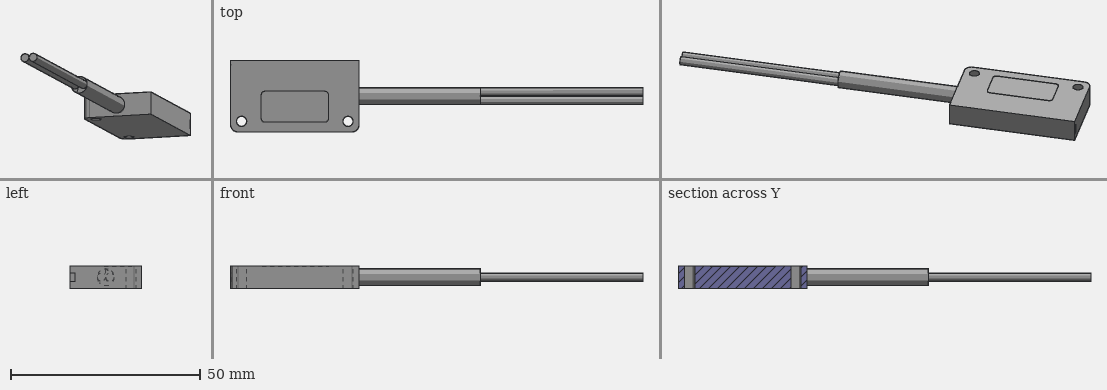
import cadquery as cq

total_length = 109.0
body_length = 34.0
body_width = 19.0
body_height = 6.0
corner_radius = 2.0

hole_diameter = 2.6
hole_inset_x = 2.9
hole_inset_y = 2.8

recess_depth = 0.1
label_length = 17.8
label_width = 8.2
label_offset_y = 2.6
label_corner_radius = 1.0
mark_width = 1.3
mark_height = 2.3

sleeve_diameter = 4.5
sleeve_length = 32.0
wire_diameter = 2.2

body_center_x = body_length / 2
front_y = -body_width / 2
back_y = body_width / 2
top_z = body_height / 2
sleeve_end_x = body_length + sleeve_length
wire_length = total_length - sleeve_end_x
wire_offset_y = (sleeve_diameter - wire_diameter) / 2


def make_body():
    """Block with the two front (-Y) vertical edges rounded."""
    block = cq.Workplane("XY").box(body_length, body_width, body_height)
    block = block.edges("|Z and <Y").fillet(corner_radius)
    return block.translate((body_center_x, 0, 0))


def make_mounting_holes():
    """Two through-hole cutters, mirrored about the middle of the body."""
    hole_y = front_y + hole_inset_y
    hole_centers = [(hole_inset_x, hole_y), (body_length - hole_inset_x, hole_y)]
    return (
        cq.Workplane("XY", origin=(0, 0, -top_z))
        .pushPoints(hole_centers)
        .circle(hole_diameter / 2)
        .extrude(body_height)
    )


def make_label_recess():
    """Rounded rectangle sunk into the top face."""
    label_y = front_y + label_offset_y + label_width / 2
    return (
        cq.Workplane("XY", origin=(body_center_x, label_y, top_z))
        .rect(label_length, label_width)
        .extrude(-recess_depth)
        .edges("|Z")
        .fillet(label_corner_radius)
    )


def make_sensing_mark():
    """Rectangle sunk into the -X face, against its back (+Y) edge."""
    return cq.Workplane("XY").box(recess_depth, mark_width, mark_height).translate(
        (recess_depth / 2, back_y - mark_width / 2, 0)
    )


def make_rod(diameter, length, start_x, center_y):
    """Round bar running along +X."""
    return (
        cq.Workplane("YZ", origin=(start_x, center_y, 0))
        .circle(diameter / 2)
        .extrude(length)
    )


result = make_body()
result = result.cut(make_mounting_holes())
result = result.cut(make_label_recess())
result = result.cut(make_sensing_mark())
result = result.union(make_rod(sleeve_diameter, sleeve_length, body_length, 0))
for side in (-1, 1):
    result = result.union(make_rod(wire_diameter, wire_length, sleeve_end_x, side * wire_offset_y))